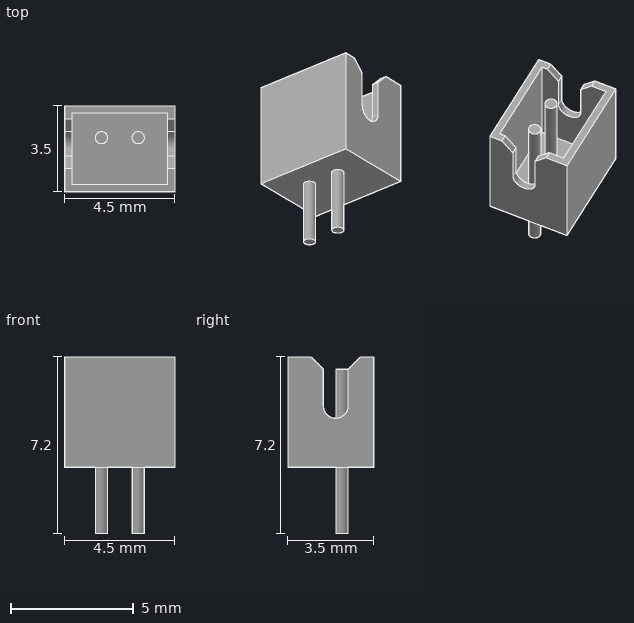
import cadquery as cq

HOUSING_X = 4.5
HOUSING_Y = 3.5
HOUSING_HEIGHT = 4.5
WALL = 0.3
FLOOR = WALL

SLOT_WIDTH = 1.0
SLOT_DEPTH = 2.5
SLOT_Y = 0.2
LEAD_IN = SLOT_WIDTH / 2

PIN_DIAMETER = 0.5
PIN_PITCH = 1.5
PIN_Y = 0.45
PIN_TAIL = 2.7
PIN_TOP_DROP = 0.5
PIN_LENGTH = PIN_TAIL + HOUSING_HEIGHT - PIN_TOP_DROP
PIN_XS = [-PIN_PITCH / 2, PIN_PITCH / 2]


def make_pin(x):
    """Round pin passing through the housing floor."""
    return (
        cq.Workplane("XY", origin=(x, PIN_Y, -PIN_TAIL))
        .circle(PIN_DIAMETER / 2)
        .extrude(PIN_LENGTH)
    )


def make_slot_cutter():
    """Round-bottomed slot with a flared mouth, running through both X walls."""
    half_width = SLOT_WIDTH / 2
    slot_bottom = HOUSING_HEIGHT - SLOT_DEPTH
    arc_z = slot_bottom + half_width
    mouth_z = HOUSING_HEIGHT - LEAD_IN
    return (
        cq.Workplane("YZ", origin=(0, SLOT_Y, 0))
        .moveTo(-half_width - LEAD_IN, HOUSING_HEIGHT)
        .lineTo(-half_width, mouth_z)
        .lineTo(-half_width, arc_z)
        .threePointArc((0, slot_bottom), (half_width, arc_z))
        .lineTo(half_width, mouth_z)
        .lineTo(half_width + LEAD_IN, HOUSING_HEIGHT)
        .close()
        .extrude(HOUSING_X / 2, both=True)
    )


def make_housing():
    """Box with a cavity, side slots and a hole in the floor for each pin."""
    on_base = (True, True, False)
    body = cq.Workplane("XY").box(HOUSING_X, HOUSING_Y, HOUSING_HEIGHT, centered=on_base)
    cavity = cq.Workplane("XY", origin=(0, 0, FLOOR)).box(
        HOUSING_X - 2 * WALL, HOUSING_Y - 2 * WALL, HOUSING_HEIGHT - FLOOR, centered=on_base
    )
    body = body.cut(cavity).cut(make_slot_cutter())
    for x in PIN_XS:
        body = body.cut(make_pin(x))
    return body


housing = make_housing()
pins = [make_pin(x) for x in PIN_XS]

result = cq.Compound.makeCompound([housing.val(), *[pin.val() for pin in pins]])